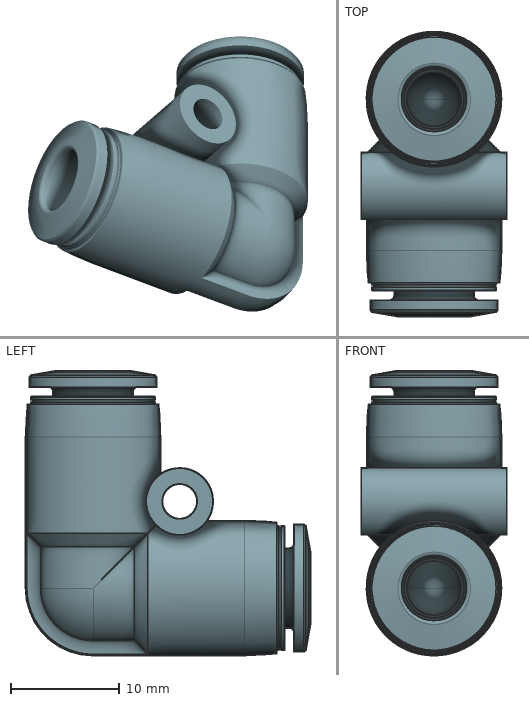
import cadquery as cq


OVERALL = 26.35
BODY_DIAMETER = 12.5
BODY_RADIUS = BODY_DIAMETER / 2
TIP = OVERALL - BODY_RADIUS
BODY_START = 5.05
TAPER_START = 13.97
BODY_END = 17.0
BODY_END_RADIUS = 6.05

ELBOW_RADIUS = 5.0
SHOULDER = BODY_RADIUS - ELBOW_RADIUS
RIB_HALF_THICKNESS = 1.25

COLLAR_END = 17.73
COLLAR_RADIUS = 11.5 / 2
COLLAR_GROOVE_DEPTH = 0.1
COLLAR_GROOVE_WIDTH = 0.2
COLLAR_GROOVE_POSITION = 17.18
COLLAR_CHAMFER = 0.08

STEM_RADIUS = 7.4 / 2
STEM_FILLET = 0.4
BUTTON_BOTTOM = 18.58
BUTTON_RADIUS = 11.8 / 2
BUTTON_EDGE_RADIUS = 11.5 / 2
BUTTON_SIDE_TOP = 19.47
BUTTON_EDGE = 19.68

SOCKET_RADIUS = 6.0 / 2
MOUTH_ROUND = 0.35
MOUTH_RADIUS = SOCKET_RADIUS + MOUTH_ROUND
SEAT = BODY_START
SEAT_RADIUS = 2.77
SEAT_CHAMFER = SOCKET_RADIUS - SEAT_RADIUS
PASSAGE_RADIUS = 5.0 / 2

MOUNT_OFFSET = 8.0
MOUNT_LENGTH = 13.5
MOUNT_DIAMETER = 6.2
MOUNT_HOLE_DIAMETER = 3.2


def revolve_about_z(profile):
    """Turn a closed (radius, height) profile drawn on the XZ plane about the Z axis."""
    return profile.close().revolve(360, (0, 0, 0), (0, 1, 0))


def on_both_arms(upright):
    """Join an upright arm feature with its copy turned onto the -Y arm."""
    lying = upright.rotate((0, 0, 0), (1, 0, 0), 90).mirror("XY")
    return upright.union(lying)


def arm_outside():
    groove_floor = COLLAR_RADIUS - COLLAR_GROOVE_DEPTH
    groove_top = COLLAR_GROOVE_POSITION + COLLAR_GROOVE_WIDTH
    profile = (
        cq.Workplane("XZ")
        .lineTo(ELBOW_RADIUS, 0)
        .lineTo(ELBOW_RADIUS, BODY_START - SHOULDER)
        .lineTo(BODY_RADIUS, BODY_START)
        .lineTo(BODY_RADIUS, TAPER_START)
        .tangentArcPoint((BODY_END_RADIUS, BODY_END), relative=False)
        .lineTo(COLLAR_RADIUS, BODY_END)
        .lineTo(COLLAR_RADIUS, COLLAR_GROOVE_POSITION)
        .lineTo(groove_floor, COLLAR_GROOVE_POSITION)
        .lineTo(groove_floor, groove_top)
        .lineTo(COLLAR_RADIUS, groove_top)
        .lineTo(COLLAR_RADIUS, COLLAR_END - COLLAR_CHAMFER)
        .lineTo(COLLAR_RADIUS - COLLAR_CHAMFER, COLLAR_END)
        .lineTo(STEM_RADIUS, COLLAR_END)
        .lineTo(STEM_RADIUS, BUTTON_BOTTOM - STEM_FILLET)
        .radiusArc((STEM_RADIUS + STEM_FILLET, BUTTON_BOTTOM), STEM_FILLET)
        .lineTo(BUTTON_RADIUS, BUTTON_BOTTOM)
        .lineTo(BUTTON_RADIUS, BUTTON_SIDE_TOP)
        .lineTo(BUTTON_EDGE_RADIUS, BUTTON_EDGE)
        .lineTo(MOUTH_RADIUS, TIP)
        .lineTo(0, TIP)
    )
    return revolve_about_z(profile)


def arm_bore():
    profile = (
        cq.Workplane("XZ")
        .lineTo(PASSAGE_RADIUS, 0)
        .lineTo(PASSAGE_RADIUS, SEAT)
        .lineTo(SEAT_RADIUS, SEAT)
        .lineTo(SOCKET_RADIUS, SEAT + SEAT_CHAMFER)
        .lineTo(SOCKET_RADIUS, TIP - MOUTH_ROUND)
        .radiusArc((MOUTH_RADIUS, TIP), MOUTH_ROUND)
        .lineTo(0, TIP)
    )
    return revolve_about_z(profile)


def elbow_rib():
    """Central slab of a full-diameter elbow, standing proud of the slimmer elbow."""
    full_arm = cq.Workplane("XY").circle(BODY_RADIUS).extrude(BODY_START)
    full_elbow = on_both_arms(full_arm).union(cq.Workplane("XY").sphere(BODY_RADIUS))
    slab = cq.Workplane("XY").box(2 * RIB_HALF_THICKNESS, OVERALL, OVERALL)
    return full_elbow.intersect(slab)


def mounting_cylinder(diameter):
    return (
        cq.Workplane("YZ", origin=(-MOUNT_LENGTH / 2, 0, 0))
        .center(-MOUNT_OFFSET, MOUNT_OFFSET)
        .circle(diameter / 2)
        .extrude(MOUNT_LENGTH)
    )


outside = (
    on_both_arms(arm_outside())
    .union(cq.Workplane("XY").sphere(ELBOW_RADIUS))
    .union(elbow_rib())
    .union(mounting_cylinder(MOUNT_DIAMETER))
)
passage = on_both_arms(arm_bore()).union(cq.Workplane("XY").sphere(PASSAGE_RADIUS))

result = outside.cut(passage).cut(mounting_cylinder(MOUNT_HOLE_DIAMETER))